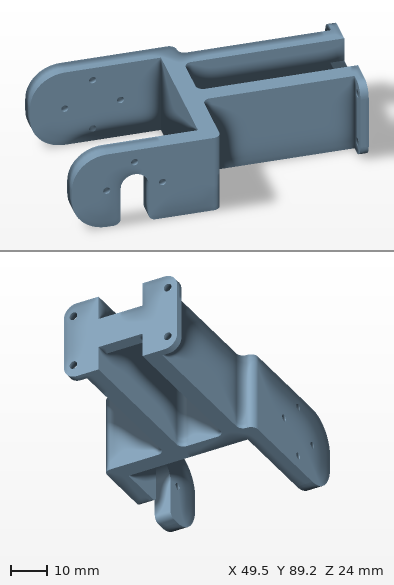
import cadquery as cq

total_length = 89.25
total_width = 49.5
height = 24.0
wall = 5.0

rail_outer_width = 24.0
rail_gap = rail_outer_width - 2 * wall
flange_width = 36.1
flange_thickness = 2.4
flange_corner_radius = 4.0
flange_hole_diameter = 2.4
flange_hole_inset = 3.0
flange_hole_spacing = 16.1
bar_depth = 4.0
bar_height = 9.3

fork_width = 47.9
fork_length = 43.0
web_thickness = 5.35
arm_gap = fork_width - 2 * wall
arm_tip_radius = 10.0
corner_radius = 2.1

horn_center_y = 18.0
horn_hole_offset = 8.0
horn_hole_diameter = 2.05
slot_width = 8.0
slot_mouth_radius = 2.0

fork_right = total_width - flange_width / 2
fork_left = fork_right - fork_width
fork_center_x = (fork_left + fork_right) / 2
rail_length = total_length - fork_length
cut_margin = 0.9


def block(width, length, tall, center_x, start_y):
    """Box centred in X and Z whose front face lies at start_y."""
    return cq.Workplane("XY").box(width, length, tall).translate((center_x, start_y + length / 2, 0))


def x_plane(x):
    """Plane facing +X whose local axes are Y and Z."""
    return cq.Workplane("YZ", origin=(x, 0, 0))


def make_fork():
    fork = block(fork_width, fork_length, height, fork_center_x, 0)
    fork = fork.edges("|Z and >Y").fillet(corner_radius)
    fork = fork.edges("|X and <Y").fillet(arm_tip_radius)
    return fork.cut(block(arm_gap, fork_length - web_thickness, height, fork_center_x, 0))


def make_rails():
    rails = block(rail_outer_width, rail_length, height, 0, fork_length)
    return rails.cut(block(rail_gap, rail_length, height, 0, fork_length))


def fillet_rail_roots(body):
    """Round the four inside corners where the rails meet the fork."""
    for x in (-rail_outer_width / 2, -rail_gap / 2, rail_gap / 2, rail_outer_width / 2):
        root = cq.selectors.NearestToPointSelector((x, fork_length, 0))
        body = body.edges("|Z").edges(root).fillet(corner_radius)
    return body


def make_flanges():
    start_y = total_length - flange_thickness
    flange = block(flange_width, flange_thickness, height, 0, start_y)
    flange = flange.edges("|Y").fillet(flange_corner_radius)
    hole_pitch_x = flange_width - 2 * flange_hole_inset
    holes = (
        cq.Workplane("XZ", origin=(0, total_length, 0))
        .rarray(hole_pitch_x, flange_hole_spacing, 2, 2)
        .circle(flange_hole_diameter / 2)
        .extrude(flange_thickness)
    )
    opening = block(rail_gap, flange_thickness, height, 0, start_y)
    return flange.cut(holes).cut(opening)


def make_horn_holes():
    """Four holes on a circle, running through both arms."""
    return (
        x_plane(fork_left)
        .center(horn_center_y, 0)
        .polarArray(horn_hole_offset, 0, 360, 4)
        .circle(horn_hole_diameter / 2)
        .extrude(fork_width)
    )


def make_slot():
    """Round-topped slot open at the bottom of the right arm, with a flared mouth."""
    half = slot_width / 2
    bottom = -height / 2
    mouth_top = bottom + slot_mouth_radius
    mouth_half = half + slot_mouth_radius
    return (
        x_plane(fork_right - wall)
        .center(horn_center_y, 0)
        .moveTo(-half, 0)
        .threePointArc((0, half), (half, 0))
        .lineTo(half, mouth_top)
        .tangentArcPoint((mouth_half, bottom), relative=False)
        .lineTo(mouth_half, bottom - cut_margin)
        .lineTo(-mouth_half, bottom - cut_margin)
        .lineTo(-mouth_half, bottom)
        .radiusArc((-half, mouth_top), -slot_mouth_radius)
        .close()
        .extrude(wall)
    )


body = fillet_rail_roots(make_fork().union(make_rails()))
body = body.union(make_flanges())
body = body.union(block(rail_gap, bar_depth, bar_height, 0, total_length - bar_depth))
result = body.cut(make_horn_holes()).cut(make_slot())